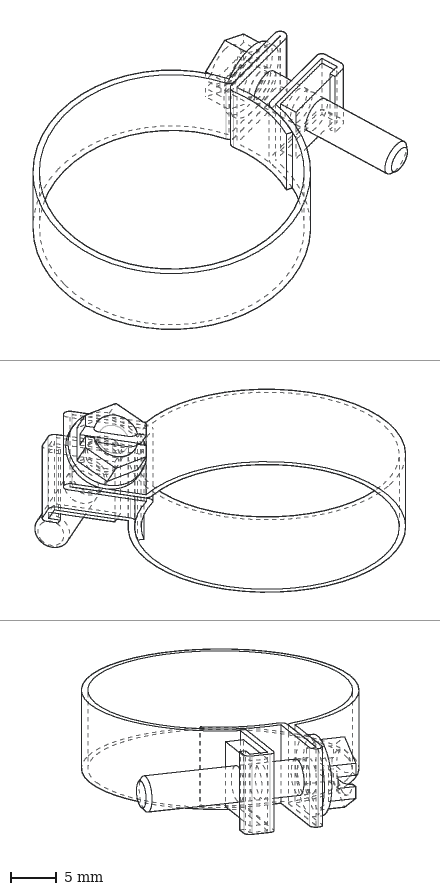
import cadquery as cq
import math

ring_radius = 15.2
strip_thickness = 0.7
strip_width = 9.0
bend_radius = strip_thickness
overlap_gap = 0.05
lug_top = 24.05
lug_outer_face = 3.18
hook_tip = 22.02
tongue_end_angle = 29.5

nut_thickness = 2.1
nut_width = 7.45

shaft_radius = 2.0
shaft_end = 16.53
shaft_chamfer = 0.5
flange_radius = strip_width / 2
flange_thickness = 0.85
head_height = 3.18
head_across_flats = 7.0
slot_width = 1.3
slot_depth = 2.1
dish_radius = 2.55
dish_depth = 0.85
dish_floor_blend = 0.82

ring_inner_radius = ring_radius - strip_thickness
tongue_outer_radius = ring_inner_radius - overlap_gap
tongue_inner_radius = tongue_outer_radius - strip_thickness
lug_inner_face = lug_outer_face - strip_thickness
fold_inner_face = -lug_inner_face + overlap_gap
fold_outer_face = fold_inner_face + strip_thickness
lug_ceiling = lug_top - strip_thickness
hook_inner_face = lug_outer_face + nut_thickness
hook_outer_face = hook_inner_face + strip_thickness
screw_y = lug_top - flange_radius
nut_height = 2 * (lug_ceiling - screw_y)
flange_face = -lug_outer_face - flange_thickness
head_face = flange_face - head_height


def on_circle(radius, x):
    """Point at the given x on the upper half of a circle about the ring axis."""
    return (x, math.sqrt(radius**2 - x**2))


def at_angle(radius, degrees):
    """Point on a circle about the ring axis, at an angle from +Y towards +X."""
    angle = math.radians(degrees)
    return (radius * math.sin(angle), radius * math.cos(angle))


def x_cylinder(radius, start, end):
    """Cylinder on the screw axis between two X positions."""
    return cq.Workplane("YZ", origin=(start, screw_y, 0)).circle(radius).extrude(end - start)


def make_band():
    tongue_mid_angle = tongue_end_angle / 2
    tongue_corner = on_circle(tongue_inner_radius, fold_inner_face)
    ring_left_corner = on_circle(ring_inner_radius, -lug_inner_face)
    ring_right_corner = on_circle(ring_inner_radius, lug_inner_face)

    profile = (
        cq.Workplane("XY", origin=(0, 0, -strip_width / 2))
        .moveTo(*tongue_corner)
        .threePointArc(
            at_angle(tongue_inner_radius, tongue_mid_angle),
            at_angle(tongue_inner_radius, tongue_end_angle),
        )
        .lineTo(*at_angle(tongue_outer_radius, tongue_end_angle))
        .threePointArc(
            at_angle(tongue_outer_radius, tongue_mid_angle),
            on_circle(tongue_outer_radius, fold_outer_face),
        )
        .lineTo(fold_outer_face, lug_top)
        .lineTo(-lug_outer_face, lug_top)
        .lineTo(*on_circle(ring_radius, -lug_outer_face))
        .threePointArc((0, -ring_radius), on_circle(ring_radius, lug_outer_face))
        .lineTo(lug_outer_face, lug_ceiling)
        .lineTo(hook_inner_face, lug_ceiling)
        .lineTo(hook_inner_face, hook_tip)
        .lineTo(hook_outer_face, hook_tip)
        .lineTo(hook_outer_face, lug_top)
        .lineTo(lug_inner_face, lug_top)
        .lineTo(*ring_right_corner)
        .threePointArc((0, -ring_inner_radius), ring_left_corner)
        .lineTo(-lug_inner_face, lug_ceiling)
        .lineTo(fold_inner_face, lug_ceiling)
        .close()
    )
    band = profile.extrude(strip_width)

    bend_corners = [
        tongue_corner,
        ring_left_corner,
        ring_right_corner,
        (fold_outer_face, lug_top),
        (-lug_outer_face, lug_top),
        (lug_inner_face, lug_top),
        (hook_outer_face, lug_top),
    ]
    for x, y in bend_corners:
        corner_edge = cq.selectors.NearestToPointSelector((x, y, 0))
        band = band.edges("|Z").edges(corner_edge).fillet(bend_radius)

    return band.cut(x_cylinder(shaft_radius, -lug_outer_face, lug_outer_face))


def make_nut():
    plate = cq.Workplane("XY").box(nut_thickness, nut_height, nut_width)
    plate = plate.translate((lug_outer_face + nut_thickness / 2, screw_y, 0))
    return plate.cut(x_cylinder(shaft_radius, lug_outer_face, hook_inner_face))


def make_screw():
    shaft = x_cylinder(shaft_radius, -lug_outer_face, shaft_end).faces(">X").chamfer(shaft_chamfer)
    flange = x_cylinder(flange_radius, flange_face, -lug_outer_face)

    head_across_corners = head_across_flats / math.cos(math.pi / 6)
    head_plane = cq.Workplane("YZ", origin=(head_face, screw_y, 0))
    hexagon = head_plane.transformed(rotate=(0, 0, 90)).polygon(6, head_across_corners)
    head = hexagon.extrude(head_height)

    dish = head_plane.circle(dish_radius).extrude(dish_depth).faces(">X").fillet(dish_floor_blend)
    slot = head_plane.rect(head_across_flats, slot_width).extrude(slot_depth)
    return head.cut(dish).cut(slot).union(flange).union(shaft)


band = make_band()
nut = make_nut()
screw = make_screw()

result = cq.Compound.makeCompound([band.val(), nut.val(), screw.val()])